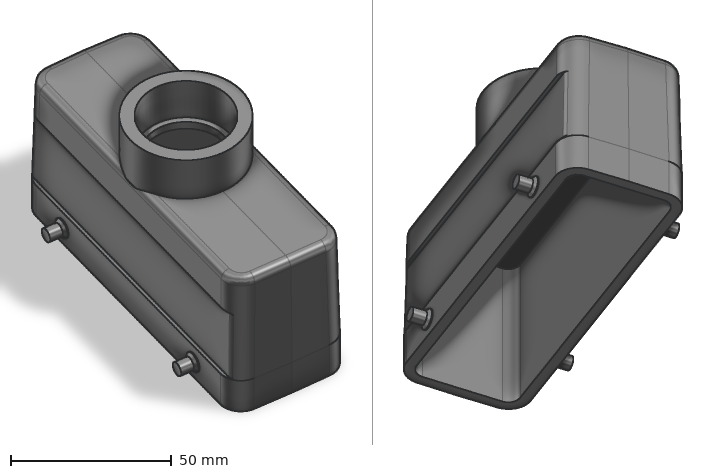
import cadquery as cq
import math

length = 120.0
width = 43.2
roof_height = 55.0
base_height = 13.0
corner_radius = 7.7
draft_angle = 1.2
ridge_angle = 0.8
roof_edge_radius = 3.0

wall = 3.6
roof_underside = 52.8

recess_depth = 1.1
recess_top = 40.1
recess_ledge_rise = 0.4
recess_edge_radius = 2.6

collar_diameter = 41.5
collar_top = 71.0
bore_diameter = 32.0
bore_floor = 55.7
entry_diameter = 28.0

pin_span = 55.5
pin_diameter = 4.8
pin_spacing = 74.2
pin_height = 6.4
pin_foot_diameter = 7.0
pin_foot_height = 1.5

tolerance = 0.01

floor_bottom = base_height + recess_ledge_rise
floor_top = recess_top - recess_ledge_rise
pin_foot_chamfer = (pin_foot_diameter - pin_diameter) / 2
draft_slope = math.tan(math.radians(draft_angle))
ridge_slope = math.tan(math.radians(ridge_angle))


def half_width_at(z):
    """Half width of the drafted upper body at height z."""
    return width / 2 - (z - base_height) * draft_slope


def drafted_half(bottom, height, draft):
    """The Y > 0 half of a drafted block with two rounded corners.

    Its ends lean in slightly from Y = 0, so the mirrored whole has a faint ridge there.
    """
    half_length, half_width = length / 2, width / 2
    corner_x = half_length - half_width * ridge_slope
    block = (
        cq.Workplane("XY", origin=(0, 0, bottom))
        .polyline([
            (half_length, 0),
            (corner_x, half_width),
            (-corner_x, half_width),
            (-half_length, 0),
            (-corner_x, -half_width),
            (corner_x, -half_width),
        ])
        .close()
        .extrude(height, taper=draft)
    )
    half_space = cq.Workplane("XY").box(2 * length, length, 2 * length, centered=(True, False, True))
    half = block.intersect(half_space)
    corners = half.faces(">Y").edges("not #Z")
    return corners.fillet(corner_radius)


def below_roof():
    """Everything below a roof plane that falls slightly from Y = 0 to the +Y side."""
    eaves_height = roof_height - width * ridge_slope
    return (
        cq.Workplane("YZ")
        .polyline([(0, 0), (width, 0), (width, eaves_height), (0, roof_height)])
        .close()
        .extrude(length, both=True)
    )


def upper_half():
    """The Y > 0 half of the upper body, with its roof edge rounded."""
    block_height = roof_height - base_height + roof_edge_radius
    half = drafted_half(base_height, block_height, draft_angle).intersect(below_roof())
    roof_outline = [edge for edge in half.faces(">Z").edges().vals() if edge.Center().y > tolerance]
    return half.newObject(roof_outline).fillet(roof_edge_radius)


def with_mirror(half):
    """A half joined to its mirror image across Y = 0."""
    return half.union(half.mirror("XZ"))


def recess_cutter(side):
    """Bar along X whose inner face runs parallel to the drafted long wall; side is +1 or -1."""
    outside = side * width
    wall_bottom = half_width_at(base_height)
    wall_top = half_width_at(recess_top)
    return (
        cq.Workplane("YZ")
        .polyline([
            (side * (wall_bottom - recess_depth), floor_bottom),
            (side * wall_bottom, base_height),
            (outside, base_height),
            (outside, recess_top),
            (side * wall_top, recess_top),
            (side * (wall_top - recess_depth), floor_top),
        ])
        .close()
        .extrude(length / 2, both=True)
    )


def is_recess_end(edge):
    """True for the steep edges where a recess floor runs out into a rounded corner."""
    low, high = sorted((edge.startPoint().z, edge.endPoint().z))
    starts_at_bottom = math.isclose(low, floor_bottom, abs_tol=tolerance)
    ends_at_top = math.isclose(high, floor_top, abs_tol=tolerance)
    return starts_at_bottom and ends_at_top


def pin(x, side):
    """Locking pin with a chamfered foot, pointing outward from a long side."""
    root = width / 2 - wall / 2
    rim = width / 2 + pin_foot_height - pin_foot_chamfer
    foot_radius = pin_foot_diameter / 2
    pin_radius = pin_diameter / 2
    half_profile = [
        (0, root),
        (foot_radius, root),
        (foot_radius, rim),
        (pin_radius, rim + pin_foot_chamfer),
        (pin_radius, pin_span / 2),
        (0, pin_span / 2),
    ]
    pin_plane = cq.Plane(origin=(x, 0, pin_height), xDir=(side, 0, 0), normal=(0, 0, 1))
    return cq.Workplane(pin_plane).polyline(half_profile).close().revolve(360, (0, 0), (0, 1))


body = with_mirror(upper_half())
for side in (-1, 1):
    body = body.cut(recess_cutter(side))
recess_ends = [edge for edge in body.edges().vals() if is_recess_end(edge)]
body = body.newObject(recess_ends).fillet(recess_edge_radius)

base = with_mirror(drafted_half(0, base_height, 0))
collar = (
    cq.Workplane("XY", origin=(0, 0, roof_underside))
    .circle(collar_diameter / 2)
    .extrude(collar_top - roof_underside)
)
body = body.union(base).union(collar)

cavity = (
    cq.Workplane("XY")
    .rect(length - 2 * wall, width - 2 * wall)
    .extrude(roof_underside)
    .edges("|Z")
    .fillet(corner_radius - wall)
)
entry = cq.Workplane("XY").circle(entry_diameter / 2).extrude(collar_top)
bore = (
    cq.Workplane("XY", origin=(0, 0, bore_floor))
    .circle(bore_diameter / 2)
    .extrude(collar_top - bore_floor)
)
body = body.cut(cavity).cut(entry).cut(bore)

for side in (-1, 1):
    for x in (-pin_spacing / 2, pin_spacing / 2):
        body = body.union(pin(x, side))

result = body